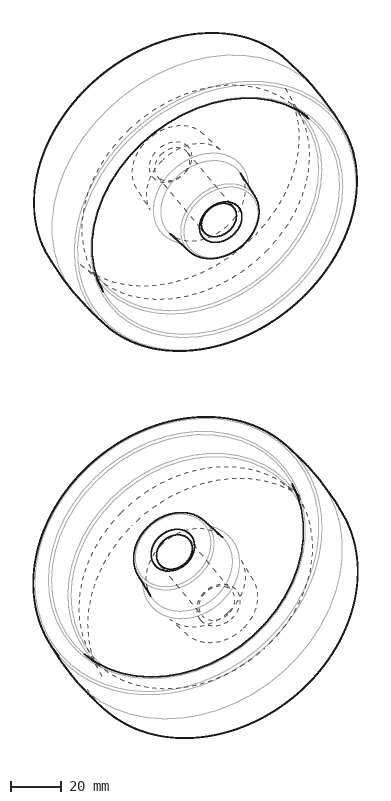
import cadquery as cq

hub_width = 48.0
rim_width = 40.0
web_thickness = 10.0

tread_radius = 62.5
tread_edge_radius = 61.4

recess_mouth_radius = 53.9
recess_floor_radius = 52.0

hub_tip_radius = 17.0
hub_root_radius = 18.6
bore_radius = 7.6
bore_chamfer = 1.6

edge_round = 1.0
hub_root_round = 2.2

half_hub = hub_width / 2
half_rim = rim_width / 2
half_web = web_thickness / 2

crown_drop = tread_radius - tread_edge_radius
crown_arc_radius = (half_rim**2 + crown_drop**2) / (2 * crown_drop)

match_tolerance = 0.01


def revolve_about_x(profile):
    return profile.close().revolve(360, (0, 0, 0), (1, 0, 0))


def make_rim_blank():
    """Solid disc of rim width with a crowned tread."""
    profile = (
        cq.Workplane("XY")
        .moveTo(-half_rim, 0)
        .lineTo(-half_rim, tread_edge_radius)
        .radiusArc((0, tread_radius), crown_arc_radius)
        .radiusArc((half_rim, tread_edge_radius), crown_arc_radius)
        .lineTo(half_rim, 0)
    )
    return revolve_about_x(profile)


def make_recess(side):
    """Tapered recess between rim and web; side is -1 or +1 along X."""
    profile = (
        cq.Workplane("XY")
        .moveTo(side * half_web, 0)
        .lineTo(side * half_web, recess_floor_radius)
        .lineTo(side * half_rim, recess_mouth_radius)
        .lineTo(side * half_rim, 0)
    )
    return revolve_about_x(profile)


def make_hub(side):
    """Tapered hub half, standing on the middle plane of the web."""
    profile = (
        cq.Workplane("XY")
        .lineTo(0, hub_root_radius)
        .lineTo(side * half_web, hub_root_radius)
        .lineTo(side * half_hub, hub_tip_radius)
        .lineTo(side * half_hub, 0)
    )
    return revolve_about_x(profile)


wheel = make_rim_blank()
for side in (-1, 1):
    wheel = wheel.cut(make_recess(side)).union(make_hub(side))


def ring_edge(radius, distance):
    """Tests for a circular edge of this radius lying this far from the middle plane, on either side."""
    return lambda edge: (
        edge.geomType() == "CIRCLE"
        and abs(edge.radius() - radius) < match_tolerance
        and abs(abs(edge.Center().x) - distance) < match_tolerance
    )


ring_rounds = (
    (tread_edge_radius, half_rim, edge_round),
    (recess_mouth_radius, half_rim, edge_round),
    (recess_floor_radius, half_web, edge_round),
    (hub_root_radius, half_web, hub_root_round),
    (hub_tip_radius, half_hub, edge_round),
)
for ring_radius, ring_distance, round_radius in ring_rounds:
    wheel = wheel.edges().filter(ring_edge(ring_radius, ring_distance)).fillet(round_radius)

bore = cq.Workplane("YZ").circle(bore_radius).extrude(half_hub, both=True)
wheel = wheel.cut(bore)
result = wheel.edges().filter(ring_edge(bore_radius, half_hub)).chamfer(bore_chamfer)